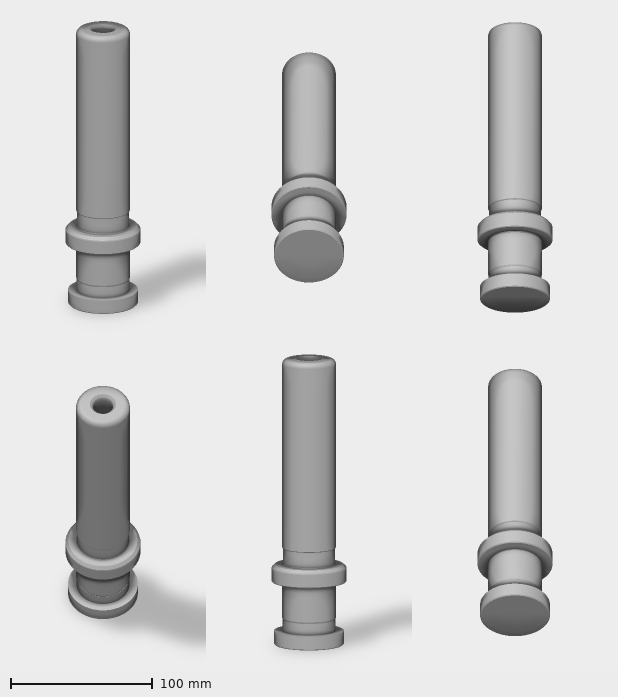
import cadquery as cq
import math

disc_flange_top = 10.0
disc_top = 18.0
fit_break = 31.9
collar_bottom = 45.0
collar_top = 57.5
guide_bottom = 69.6
overall_height = 205.0

pillar_radius = 19.0
pillar_end_taper_height = 1.2
pillar_end_taper_width = 0.5
top_round = 4.0
collar_radius = 26.5
collar_top_chamfer = 2.0
collar_edge_break_height = 0.8
collar_edge_break_width = 0.2
collar_bottom_chamfer = 0.6
relief_radius = 18.4
relief_taper = pillar_radius - relief_radius
undercut_height = 1.2
undercut_taper_height = 0.5

hole_mouth_radius = 9.25
mouth_chamfer_radius = 8.25
mouth_chamfer_depth = 1.0
countersink_radius = 7.4
countersink_depth = 2.0
bore_radius = 7.1
lead_in_depth = 3.8
bore_depth = 36.0
drill_point_angle = 118.0
drill_point_height = bore_radius / math.tan(math.radians(drill_point_angle / 2))

disc_radius = 24.65
disc_neck_radius = 18.7
disc_bottom_chamfer = 0.6


def revolve_profile(sketch):
    """Revolve a closed radius/height profile around the Z axis."""
    return sketch.close().revolve(360, (0, 0, 0), (0, 1, 0), clean=False)


def make_centre_hole():
    """Mouth chamfer, countersink, tapered lead-in and drilled bore with a pointed end."""
    return revolve_profile(
        cq.Workplane("XZ")
        .moveTo(0, overall_height)
        .lineTo(hole_mouth_radius, overall_height)
        .lineTo(mouth_chamfer_radius, overall_height - mouth_chamfer_depth)
        .lineTo(countersink_radius, overall_height - countersink_depth)
        .lineTo(bore_radius, overall_height - lead_in_depth)
        .lineTo(bore_radius, overall_height - bore_depth)
        .lineTo(0, overall_height - bore_depth - drill_point_height)
    )


def make_guide_pillar():
    """Turned pillar with a collar, relief grooves and a rounded top end."""
    collar_chamfer_bottom = collar_top - collar_top_chamfer
    collar_chamfer_radius = collar_radius - collar_edge_break_width
    round_middle = top_round * math.cos(math.radians(45))
    round_centre_radius = pillar_radius - top_round
    round_centre_height = overall_height - top_round
    blank = revolve_profile(
        cq.Workplane("XZ")
        .moveTo(0, disc_top)
        .lineTo(pillar_radius - pillar_end_taper_width, disc_top)
        .lineTo(pillar_radius, disc_top + pillar_end_taper_height)
        .lineTo(pillar_radius, fit_break)
        .lineTo(pillar_radius, collar_bottom - undercut_height)
        .lineTo(relief_radius, collar_bottom - undercut_height + undercut_taper_height)
        .lineTo(relief_radius, collar_bottom)
        .lineTo(collar_radius - collar_bottom_chamfer, collar_bottom)
        .lineTo(collar_radius, collar_bottom + collar_bottom_chamfer)
        .lineTo(collar_radius, collar_chamfer_bottom - collar_edge_break_height)
        .lineTo(collar_chamfer_radius, collar_chamfer_bottom)
        .lineTo(collar_chamfer_radius - collar_top_chamfer, collar_top)
        .lineTo(pillar_radius, collar_top)
        .lineTo(relief_radius, collar_top + relief_taper)
        .lineTo(relief_radius, guide_bottom - relief_taper)
        .lineTo(pillar_radius, guide_bottom)
        .lineTo(pillar_radius, round_centre_height)
        .threePointArc(
            (round_centre_radius + round_middle, round_centre_height + round_middle),
            (round_centre_radius, overall_height),
        )
        .lineTo(0, overall_height)
    )
    return blank.cut(make_centre_hole(), clean=False)


def make_retaining_disc():
    """Flanged disc whose neck butts against the lower end of the pillar."""
    return revolve_profile(
        cq.Workplane("XZ")
        .lineTo(disc_radius - disc_bottom_chamfer, 0)
        .lineTo(disc_radius, disc_bottom_chamfer)
        .lineTo(disc_radius, disc_flange_top)
        .lineTo(disc_neck_radius, disc_flange_top)
        .lineTo(disc_neck_radius, disc_top)
        .lineTo(0, disc_top)
    )


guide_pillar = make_guide_pillar()
retaining_disc = make_retaining_disc()

result = cq.Compound.makeCompound([guide_pillar.val(), retaining_disc.val()])